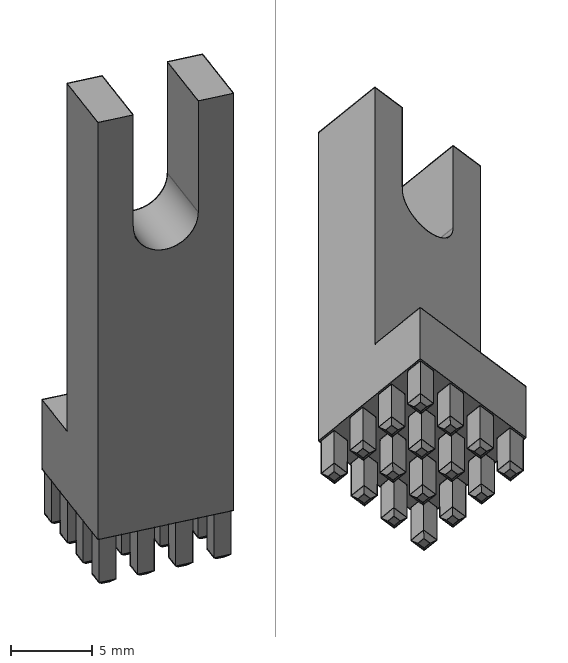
import cadquery as cq

total_height = 33.5
body_width = 9.0

pin_length = 3.5
pin_width = 1.15
pin_pitch = 2.55
pins_per_row = 4
pin_tip_chamfer = 0.3

foot_height = 5.0
blade_thickness = 5.0
body_height = total_height - pin_length

slot_width = 4.32
slot_center_depth = 8.0
slot_center_z = body_height - slot_center_depth

half_width = body_width / 2
blade_face_x = half_width - blade_thickness


def make_body():
    """L-shaped profile in XZ, centred on X and Y, with the foot's underside at Z = 0."""
    return (
        cq.Workplane("XZ")
        .moveTo(-half_width, 0)
        .lineTo(half_width, 0)
        .lineTo(half_width, body_height)
        .lineTo(blade_face_x, body_height)
        .lineTo(blade_face_x, foot_height)
        .lineTo(-half_width, foot_height)
        .close()
        .extrude(half_width, both=True)
    )


def make_slot():
    """Round-bottomed slot running through the blade along X."""
    slot_radius = slot_width / 2
    return (
        cq.Workplane("YZ", origin=(blade_face_x, 0, 0))
        .moveTo(-slot_radius, body_height)
        .lineTo(-slot_radius, slot_center_z)
        .threePointArc((0, slot_center_z - slot_radius), (slot_radius, slot_center_z))
        .lineTo(slot_radius, body_height)
        .close()
        .extrude(blade_thickness)
    )


def make_pins():
    """Square grid of square pins hanging below the foot, each with a chamfered tip."""
    return (
        cq.Workplane("XY")
        .rarray(pin_pitch, pin_pitch, pins_per_row, pins_per_row)
        .rect(pin_width, pin_width)
        .extrude(-pin_length)
        .faces("<Z")
        .chamfer(pin_tip_chamfer)
    )


result = make_body().cut(make_slot()).union(make_pins())